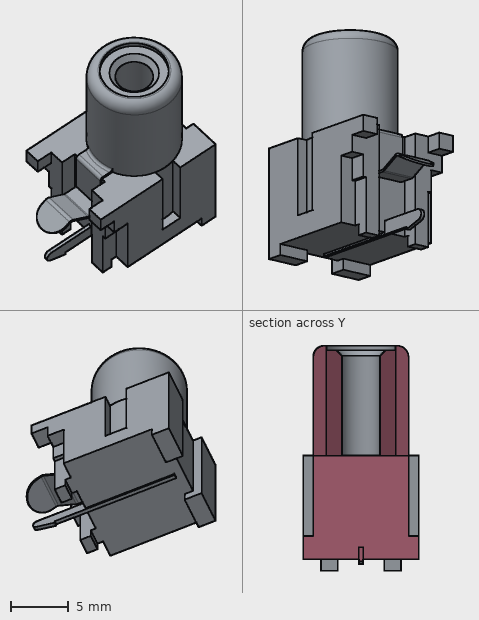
import math
import cadquery as cq

HALF_WIDTH = 10.0 / 2
BODY_TOP = 10.0
BODY_BOTTOM = 1.0
BACK = HALF_WIDTH
RECESS_HALF_WIDTH = 2.0
BACK_RECESS_FLOOR = 4.2
FRONT_RECESS_FLOOR = -5.01
LEG_FRONT = -6.47
ARM_FRONT = -8.0
ARM_WIDTH = 1.55
ARM_HEIGHT = 1.46
NOTCH_BACK = -4.95
NOTCH_UPPER_WIDTH = 1.2
NOTCH_UPPER_TOP = 7.02
NOTCH_LOWER_TOP = 5.01
BACK_FOOT_LENGTH = 1.6
FRONT_FOOT_LENGTH = 1.0
SIDE_SLOT_WIDTH = 1.99
SIDE_SLOT_BOTTOM = 3.02

BARREL_RADIUS = 8.29 / 2
BARREL_TOP = 19.5
BARREL_ROUND = 1.0
SHELL_BORE_RADIUS = 2.98

STRIP_HALF_WIDTH = 1.62
STRIP_THICKNESS = 0.2
STRIP_BEND_RADIUS = 0.33
STRIP_ROOT_FILLET = 0.27
STRIP_LEDGE_TOP = 6.05
STRIP_KNEE = -6.53
STRIP_RIDGE = -8.46
OVERALL_DEPTH = 15.5
STRIP_TIP = BACK - OVERALL_DEPTH
STRIP_SLOPE = 28.5
RIDGE_RADIUS = 0.43
KNEE_RADIUS = 0.27

INSULATOR_SETBACK = 0.39
INSULATOR_TOP = BARREL_TOP - INSULATOR_SETBACK
SOCKET_RADIUS = 1.64
SOCKET_CHAMFER = 0.5

PIN_THICKNESS = 0.35
PIN_TOP = 2.05
PIN_BOTTOM = 0.8
PIN_TIP_RADIUS = 0.5
PIN_TIP = -9.98
BARB_BACK = -7.92
BARB_FLAT = 0.14
BARB_BOTTOM = 0.58
PIN_BACK = BACK - BACK_FOOT_LENGTH


def block(x_range, y_range, z_range):
    """Axis-aligned box between the given limits."""
    lengths = [high - low for low, high in (x_range, y_range, z_range)]
    corner = (x_range[0], y_range[0], z_range[0])
    return cq.Workplane("XY").box(*lengths, centered=False).translate(corner)


def both_sides(shape):
    """A shape together with its mirror image across the X = 0 plane."""
    return shape.union(shape.mirror("YZ"))


def make_pin():
    """Flat pin along Y with a rounded front tip and a barb under it."""
    tip_center_y = PIN_TIP + PIN_TIP_RADIUS
    tip_center_z = PIN_TOP - PIN_TIP_RADIUS
    barb_y = BARB_BACK - BARB_FLAT

    reach_y = tip_center_y - barb_y
    reach_z = tip_center_z - BARB_BOTTOM
    reach = math.hypot(reach_y, reach_z)
    tangent_angle = math.atan2(-reach_z, -reach_y) - math.acos(PIN_TIP_RADIUS / reach)
    tangent_point = (
        tip_center_y + PIN_TIP_RADIUS * math.cos(tangent_angle),
        tip_center_z + PIN_TIP_RADIUS * math.sin(tangent_angle),
    )
    return (
        cq.Workplane("YZ")
        .moveTo(PIN_BACK, PIN_TOP)
        .lineTo(tip_center_y, PIN_TOP)
        .threePointArc((PIN_TIP, tip_center_z), tangent_point)
        .lineTo(barb_y, BARB_BOTTOM)
        .lineTo(BARB_BACK, BARB_BOTTOM)
        .lineTo(BARB_BACK, PIN_BOTTOM)
        .lineTo(PIN_BACK, PIN_BOTTOM)
        .close()
        .extrude(PIN_THICKNESS / 2, both=True)
    )


def make_housing(pin):
    """Block with legs, arms, recesses and feet, slotted to hold the pin."""
    x_full = (-HALF_WIDTH, HALF_WIDTH)
    x_recess = (-RECESS_HALF_WIDTH, RECESS_HALF_WIDTH)
    x_arm = (HALF_WIDTH - ARM_WIDTH, HALF_WIDTH)
    z_full = (0, BODY_TOP)
    housing = block(x_full, (LEG_FRONT, BACK), z_full)

    arm = block(x_arm, (ARM_FRONT, LEG_FRONT), (BODY_TOP - ARM_HEIGHT, BODY_TOP))
    housing = housing.union(both_sides(arm))

    housing = housing.cut(block(x_recess, (LEG_FRONT, FRONT_RECESS_FLOOR), z_full))
    housing = housing.cut(block(x_recess, (BACK_RECESS_FLOOR, BACK), z_full))

    x_notch = (HALF_WIDTH - NOTCH_UPPER_WIDTH, HALF_WIDTH)
    y_notch = (LEG_FRONT, NOTCH_BACK)
    notch = block(x_notch, y_notch, (0, NOTCH_UPPER_TOP))
    notch = notch.union(block(x_arm, y_notch, (0, NOTCH_LOWER_TOP)))
    housing = housing.cut(both_sides(notch))

    y_clear = (LEG_FRONT + FRONT_FOOT_LENGTH, BACK - BACK_FOOT_LENGTH)
    housing = housing.cut(block(x_full, y_clear, (0, BODY_BOTTOM)))
    housing = housing.cut(block(x_recess, (LEG_FRONT, BACK), (0, BODY_BOTTOM)))

    y_slot = (-SIDE_SLOT_WIDTH / 2, SIDE_SLOT_WIDTH / 2)
    slot = block((0, HALF_WIDTH), y_slot, (SIDE_SLOT_BOTTOM, BODY_TOP))
    slot = slot.cut(cq.Workplane("XY").circle(BARREL_RADIUS).extrude(BODY_TOP))
    housing = housing.cut(both_sides(slot))

    return housing.cut(pin)


def make_strip():
    """Strip over the housing edge, down the recess floor, then up to a ridge and down to a round tip."""
    slope = math.radians(STRIP_SLOPE)
    rise = math.tan(slope)
    wall_front = FRONT_RECESS_FLOOR - STRIP_THICKNESS
    strip_top = BODY_TOP + STRIP_THICKNESS
    ledge_bottom = STRIP_LEDGE_TOP - STRIP_THICKNESS
    knee_shift = STRIP_THICKNESS * math.tan(slope / 2)
    ridge_top = STRIP_LEDGE_TOP + rise * (STRIP_KNEE - STRIP_RIDGE)
    ridge_bottom = ridge_top - STRIP_THICKNESS / math.cos(slope)
    tip_top = ridge_top - rise * (STRIP_RIDGE - STRIP_TIP)
    tip_under_y = STRIP_TIP + STRIP_THICKNESS * math.sin(slope)
    tip_under_z = tip_top - STRIP_THICKNESS * math.cos(slope)
    strip = (
        cq.Workplane("YZ")
        .polyline(
            [
                (0, BODY_TOP),
                (FRONT_RECESS_FLOOR, BODY_TOP),
                (FRONT_RECESS_FLOOR, ledge_bottom),
                (STRIP_KNEE - knee_shift, ledge_bottom),
                (STRIP_RIDGE, ridge_bottom),
                (tip_under_y, tip_under_z),
                (STRIP_TIP, tip_top),
                (STRIP_RIDGE, ridge_top),
                (STRIP_KNEE, STRIP_LEDGE_TOP),
                (wall_front, STRIP_LEDGE_TOP),
                (wall_front, strip_top),
                (0, strip_top),
            ]
        )
        .close()
        .extrude(STRIP_HALF_WIDTH, both=True)
    )

    bends = [
        (STRIP_KNEE, STRIP_LEDGE_TOP, KNEE_RADIUS),
        (STRIP_KNEE - knee_shift, ledge_bottom, KNEE_RADIUS + STRIP_THICKNESS),
        (wall_front, strip_top, STRIP_BEND_RADIUS),
        (STRIP_RIDGE, ridge_bottom, RIDGE_RADIUS - STRIP_THICKNESS),
        (STRIP_RIDGE, ridge_top, RIDGE_RADIUS),
    ]
    for y, z, radius in bends:
        strip = strip.edges(cq.selectors.NearestToPointSelector((0, y, z))).fillet(radius)

    tip_plane = cq.Plane(
        origin=(0, STRIP_TIP, tip_top),
        xDir=(1, 0, 0),
        normal=(0, -math.sin(slope), math.cos(slope)),
    )
    tip_waste = (
        cq.Workplane(tip_plane)
        .rect(2 * STRIP_HALF_WIDTH, 2 * STRIP_HALF_WIDTH)
        .extrude(STRIP_THICKNESS, both=True)
    )
    tip_disc = (
        cq.Workplane(tip_plane)
        .center(0, STRIP_HALF_WIDTH)
        .circle(STRIP_HALF_WIDTH)
        .extrude(STRIP_THICKNESS, both=True)
    )
    return strip.cut(tip_waste.cut(tip_disc))


def make_root_fillet():
    """Concave fillet between the barrel and the flat start of the strip."""
    base_z = BODY_TOP + STRIP_THICKNESS
    outer_radius = BARREL_RADIUS + STRIP_ROOT_FILLET
    sag = STRIP_ROOT_FILLET * (1 - math.sqrt(0.5))
    ring = (
        cq.Workplane("XZ")
        .moveTo(SHELL_BORE_RADIUS, base_z)
        .lineTo(outer_radius, base_z)
        .threePointArc((BARREL_RADIUS + sag, base_z + sag), (BARREL_RADIUS, base_z + STRIP_ROOT_FILLET))
        .lineTo(SHELL_BORE_RADIUS, base_z + STRIP_ROOT_FILLET)
        .close()
        .revolve(360, (0, 0, 0), (0, 1, 0))
    )
    strip_span = block(
        (-STRIP_HALF_WIDTH, STRIP_HALF_WIDTH),
        (-outer_radius, 0),
        (base_z, base_z + STRIP_ROOT_FILLET),
    )
    return ring.intersect(strip_span)


def make_shell():
    """Round-topped tube standing on the housing, with its contact strip."""
    barrel_base = cq.Workplane("XY", origin=(0, 0, BODY_TOP))
    barrel_height = BARREL_TOP - BODY_TOP
    barrel = barrel_base.circle(BARREL_RADIUS).extrude(barrel_height)
    barrel = barrel.faces(">Z").edges().fillet(BARREL_ROUND)
    shell = barrel.union(make_strip()).union(make_root_fillet())
    bore = barrel_base.circle(SHELL_BORE_RADIUS).extrude(barrel_height)
    return shell.cut(bore)


def make_insulator():
    """Sleeve that fills the shell, with a countersunk socket open down to the housing."""
    return (
        cq.Workplane("XY", origin=(0, 0, BODY_TOP))
        .circle(SHELL_BORE_RADIUS)
        .circle(SOCKET_RADIUS)
        .extrude(INSULATOR_TOP - BODY_TOP)
        .faces(">Z")
        .edges(cq.selectors.RadiusNthSelector(0))
        .chamfer(SOCKET_CHAMFER)
    )


pin = make_pin()
housing = make_housing(pin)
shell = make_shell()
insulator = make_insulator()

result = cq.Compound.makeCompound([housing.val(), shell.val(), insulator.val(), pin.val()])